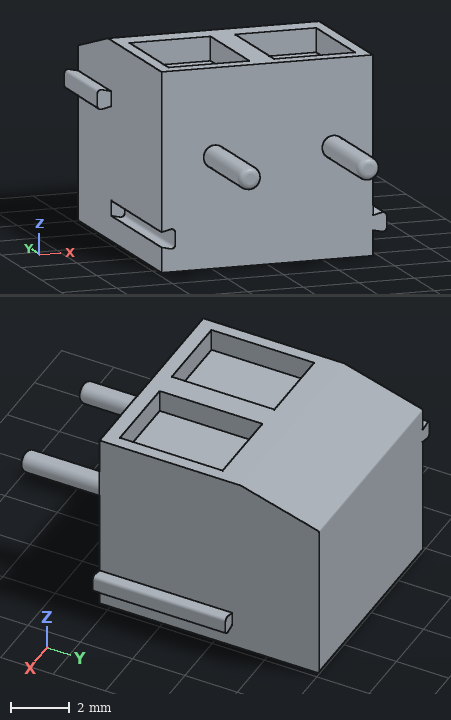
import cadquery as cq


overall_width = 8.62
body_width = 7.62
body_height = 7.0
overall_depth = 12.0
pin_length = 3.6
body_depth = overall_depth - pin_length
slope_depth = 3.0
slope_drop = 0.9
back_edge_radius = 0.1
pole_count = 2

pocket_width = 2.92
pocket_length = 3.92
pocket_sink = 0.85
pocket_front_gap = 0.55
pocket_pitch = 3.8
pocket_row_width = (pole_count - 1) * pocket_pitch + pocket_width
first_pocket_x = (body_width - pocket_row_width) / 2

pin_diameter = 0.8
pin_tip_radius = 0.2
pin_height = 3.9
first_pin_x = 1.92
pin_pitch = 4.27

dovetail_reach = (overall_width - body_width) / 2
dovetail_root = 0.53
dovetail_tip = 0.75
dovetail_radius = 0.15
upper_dovetail_height = 4.95
lower_dovetail_height = 1.15
upper_rib_length = 3.32
lower_dovetail_length = body_depth - upper_rib_length


def make_body():
    """Block with a sloping top at the back and slightly rounded back edges."""
    side_outline = [
        (0, 0),
        (body_depth, 0),
        (body_depth, body_height - slope_drop),
        (body_depth - slope_depth, body_height),
        (0, body_height),
    ]
    block = cq.Workplane("YZ").polyline(side_outline).close().extrude(body_width)
    return block.faces(">Y").edges("|X").fillet(back_edge_radius)


def make_dovetail(root_x, direction, height, front_y, length):
    """Bar along Y, widening from root_x towards direction (+1 is +X, -1 is -X)."""
    tip_x = root_x + direction * dovetail_reach
    outline = [
        (root_x, height - dovetail_root / 2),
        (tip_x, height - dovetail_tip / 2),
        (tip_x, height + dovetail_tip / 2),
        (root_x, height + dovetail_root / 2),
    ]
    bar = cq.Workplane("XZ", origin=(0, front_y, 0)).polyline(outline).close().extrude(-length)
    tip_face = ">X" if direction > 0 else "<X"
    return bar.faces(tip_face).edges("|Y").fillet(dovetail_radius)


def make_pocket(left_x):
    """Rectangular cutter sunk into the top face."""
    cutter = cq.Workplane("XY").box(pocket_width, pocket_length, pocket_sink, centered=False)
    return cutter.translate((left_x, pocket_front_gap, body_height - pocket_sink))


def make_pin(center_x):
    """Round pin standing out of the front face, with a rounded tip."""
    pin = cq.Workplane("XZ").center(center_x, pin_height).circle(pin_diameter / 2).extrude(pin_length)
    return pin.faces("<Y").edges().fillet(pin_tip_radius)


result = make_body()

for pole in range(pole_count):
    result = result.cut(make_pocket(first_pocket_x + pole * pocket_pitch))
    result = result.union(make_pin(first_pin_x + pole * pin_pitch))

upper_rib = make_dovetail(0, -1, upper_dovetail_height, body_depth - upper_rib_length, upper_rib_length)
result = result.union(upper_rib)

lower_rib = make_dovetail(body_width, 1, lower_dovetail_height, 0, lower_dovetail_length)
lower_groove = make_dovetail(0, 1, lower_dovetail_height, 0, lower_dovetail_length)
result = result.union(lower_rib).cut(lower_groove)